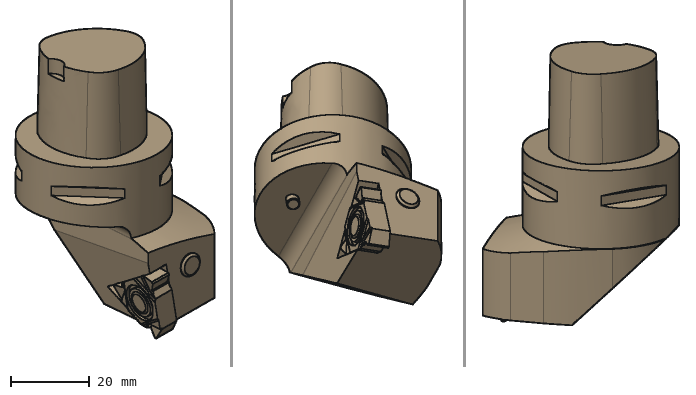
import cadquery as cq
import math


shank_length = 23.95
base_lobe, base_joint, base_flank = 14.9, 14.25, 13.25
top_lobe, top_joint, top_flank = 14.3, 13.8, 12.8
base_joint_angle, top_joint_angle = 18.3, 16.5
key_radius = 3.6
lobe_angles = (90, 210, 330)
flank_turn = 60
key_center_y = -14.5
key_depth = 4.1

flange_radius = 40.0 / 2
slot_z = -8.0
slot_floor_height = 2.5
slot_mouth_height = 5.05
slot_floor_distance = 17.65
slot_angles = (45, 135, 225, 315)

head_top_z = -20.9
head_top_slope = 15.0
head_back_y = 42.45 - flange_radius
head_wall_radius = 20.25
head_wall_angles = (160, 137, 115)
bulge_mid = (-0.7, 20.9)
back_start_x, back_end_x = 8.7, 17.4
corner_mid = (22.1, 20.9)
side_back = (26.0, 18.4)
side_front_x = 26.3
head_inner_x = -14.5
head_bottom_z = -50.6
chamfer_start_z = -20.1
front_y = -4.05
step_outer_z = -16.0
step_slope = 5.0
step_fillet = 4.0

button_radius = 3.2
button_y, button_z = 10.05, -30.15
button_end_x = 27.0
button_chamfer = 0.65

pin_radius = 1.65
pin_tip = (2.7, -11.9, -19.1)
pin_tilt = 15.0
pin_length = 4.35
pin_chamfer = 0.2

insert_center = (20.6, -1.7, -39.2)
rake_angle = 10.0
side_angle = 1.0
corner_angles = (0, 120, 240)
insert_inradius = 12.8 / 2
insert_thickness = 5.65
seat_to_bottom = 6.2
tip_half_width = 0.3
rake_root_y = -5.7
rake_root_x = 1.15
rake_depth = 0.6
tooth_root_y = -6.0
shoulder_y = -7.2
notch_start_x = 1.7
notch_end_x, notch_end_y = 2.0, -6.9
tooth_tip_x, tooth_tip_y = 3.9, -9.3
boss_inradius = 5.9
boss_height = 0.3
boss_taper = 65.0
groove_width = 1.0
groove_depth = 0.6
ring_radius = 8.0 / 2
hub_base_radius = 3.1
hub_top_radius = 2.5
hub_height = 0.3

CUT = 72.3


def seat_plane():
    """Plane of the cutting face: x to the side, y up, normal out of the face."""
    rake = math.radians(rake_angle)
    side = math.radians(side_angle)
    normal = (math.sin(side) * math.cos(rake), -math.cos(side) * math.cos(rake), -math.sin(rake))
    return cq.Plane(origin=insert_center, xDir=(math.cos(side), math.sin(side), 0), normal=normal)


seat = seat_plane()


def polar(radius, degrees):
    return (radius * math.cos(math.radians(degrees)), radius * math.sin(math.radians(degrees)))


def triangle(workplane, inradius, first_corner):
    """Equilateral triangle with one corner at the given angle."""
    corners = [polar(2 * inradius, first_corner + turn) for turn in corner_angles]
    return workplane.polyline(corners).close()


def shank_outline(workplane, lobe, joint, flank, joint_angle):
    """Three-lobed outline made of alternating lobe and flank arcs."""
    outline = workplane.moveTo(*polar(joint, lobe_angles[0] - joint_angle))
    for lobe_angle in lobe_angles:
        outline = outline.threePointArc(polar(lobe, lobe_angle), polar(joint, lobe_angle + joint_angle))
        outline = outline.threePointArc(
            polar(flank, lobe_angle + flank_turn),
            polar(joint, lobe_angle + 2 * flank_turn - joint_angle),
        )
    return outline.close()


def make_shank():
    base = shank_outline(cq.Workplane("XY"), base_lobe, base_joint, base_flank, base_joint_angle)
    top = base.workplane(offset=shank_length)
    shank = shank_outline(top, top_lobe, top_joint, top_flank, top_joint_angle).loft(ruled=True)
    key = (
        cq.Workplane("XY", origin=(0, key_center_y, shank_length))
        .circle(key_radius)
        .extrude(-key_depth)
    )
    return shank.cut(key)


def make_slot_cutter(angle):
    """Gripper slot: a straight groove across the flange rim with flared flanks."""
    floor, mouth = slot_floor_height / 2, slot_mouth_height / 2
    return (
        cq.Workplane("XZ", origin=(0, 0, slot_z))
        .polyline([
            (slot_floor_distance, -floor),
            (flange_radius, -mouth),
            (flange_radius, mouth),
            (slot_floor_distance, floor),
        ])
        .close()
        .extrude(flange_radius, both=True)
        .rotate((0, 0, 0), (0, 0, 1), angle)
    )


def make_head_block():
    """Side bulge of the head under a conical top."""
    wall_start, wall_mid, wall_end = [polar(head_wall_radius, angle) for angle in head_wall_angles]
    block = (
        cq.Workplane("XY", origin=(0, 0, head_bottom_z))
        .moveTo(*wall_start)
        .threePointArc(wall_mid, wall_end)
        .threePointArc(bulge_mid, (back_start_x, head_back_y))
        .lineTo(back_end_x, head_back_y)
        .threePointArc(corner_mid, side_back)
        .lineTo(side_front_x, front_y)
        .lineTo(head_inner_x, front_y)
        .close()
        .extrude(head_top_z - head_bottom_z)
    )
    rim = 2 * flange_radius
    rim_z = head_top_z - (rim - flange_radius) * math.tan(math.radians(head_top_slope))
    cone = (
        cq.Workplane("XZ")
        .polyline([
            (0, head_bottom_z),
            (rim, head_bottom_z),
            (rim, rim_z),
            (flange_radius, head_top_z),
            (0, head_top_z),
        ])
        .close()
        .revolve(360, (0, 0, 0), (0, 1, 0))
    )
    return block.intersect(cone)


def make_step_cutter():
    """Clears the front half below the flange, with a rounded inner corner."""
    step_inner_z = step_outer_z - (flange_radius + front_y) * math.tan(math.radians(step_slope))
    clearance = 3.6
    step_clear_y = -flange_radius - clearance
    step_clear_z = step_outer_z + clearance * math.tan(math.radians(step_slope))
    return (
        cq.Workplane("YZ")
        .polyline([
            (front_y, head_bottom_z),
            (front_y, step_inner_z),
            (step_clear_y, step_clear_z),
            (step_clear_y, head_bottom_z),
        ])
        .close()
        .extrude(CUT, both=True)
        .edges(cq.selectors.NearestToPointSelector((0, front_y, step_inner_z)))
        .fillet(step_fillet)
    )


def make_chamfer_cutter():
    """45 degree cut from the flange wall down to the bottom."""
    reach = chamfer_start_z - head_bottom_z
    return (
        cq.Workplane("XZ")
        .polyline([
            (-flange_radius, chamfer_start_z),
            (-flange_radius + reach, head_bottom_z),
            (-flange_radius, head_bottom_z),
        ])
        .close()
        .extrude(CUT, both=True)
    )


def make_face_cutter():
    """Removes all that stands in front of the leaning cutting face."""
    face_top = 17.35
    return (
        cq.Workplane(seat)
        .center(0, face_top - CUT / 2)
        .rect(2 * CUT, CUT)
        .extrude(CUT)
    )


def make_bottom_cutter():
    """Trims the bottom square to the cutting face."""
    return (
        cq.Workplane(seat)
        .center(0, -seat_to_bottom - CUT / 2)
        .rect(2 * CUT, CUT)
        .extrude(CUT, both=True)
    )


def make_button():
    """Chamfered disc on the side of the head."""
    button_root_x = 21.7
    return (
        cq.Workplane("YZ", origin=(button_root_x, button_y, button_z))
        .circle(button_radius)
        .extrude(button_end_x - button_root_x)
        .faces(">X")
        .chamfer(button_chamfer)
    )


def make_pin():
    """Tilted nozzle pin under the flange step."""
    tilt = math.radians(pin_tilt)
    plane = cq.Plane(origin=pin_tip, xDir=(0, 1, 0), normal=(-math.sin(tilt), 0, math.cos(tilt)))
    return cq.Workplane(plane).circle(pin_radius).extrude(pin_length).faces("<Z").chamfer(pin_chamfer)


def make_holder():
    flange = cq.Workplane("XY").circle(flange_radius).extrude(head_bottom_z)
    holder = flange.union(make_head_block())
    holder = holder.cut(make_step_cutter()).cut(make_chamfer_cutter())
    holder = holder.cut(make_face_cutter()).cut(make_bottom_cutter())
    for angle in slot_angles:
        holder = holder.cut(make_slot_cutter(angle))
    pocket = triangle(cq.Workplane(seat), insert_inradius, 180).extrude(-insert_thickness)
    return holder.union(make_shank()).union(make_button()).union(make_pin()).cut(pocket)


def turned(point, degrees):
    x, y = point
    turn = math.radians(degrees)
    return (x * math.cos(turn) - y * math.sin(turn), x * math.sin(turn) + y * math.cos(turn))


def make_rake_cutter(angle):
    """Sunken tooth face: deepest at its root and running out at the tooth tip."""
    side_plane = cq.Plane(
        origin=seat.toWorldCoords((rake_root_x, 0, 0)), xDir=seat.yDir, normal=seat.xDir
    )
    cutter = (
        cq.Workplane(side_plane)
        .polyline([
            (rake_root_y, 2 * boss_height),
            (rake_root_y, -rake_depth),
            (tooth_tip_y, 0),
            (tooth_tip_y, 2 * boss_height),
        ])
        .close()
        .extrude(insert_inradius)
    )
    center = seat.origin
    return cutter.rotate(center.toTuple(), (center + seat.zDir).toTuple(), angle)


def make_insert():
    """Three-toothed threading insert with a raised chipbreaker boss and screw hub."""
    shoulder_x = -2 * (insert_inradius + shoulder_y * math.sin(math.radians(60)))
    corner = [
        (shoulder_x, shoulder_y),
        (notch_start_x, shoulder_y),
        (notch_end_x, notch_end_y),
        (tooth_tip_x - tip_half_width, tooth_tip_y),
        (tooth_tip_x + tip_half_width, tooth_tip_y),
        (insert_inradius, tooth_root_y),
    ]
    outline = [turned(point, angle) for angle in corner_angles for point in corner]
    plate = cq.Workplane(seat).polyline(outline).close().extrude(-insert_thickness)

    boss = triangle(cq.Workplane(seat), boss_inradius, 0).extrude(boss_height, taper=boss_taper)
    edge_limit = cq.Workplane(seat).polyline(outline).close().extrude(boss_height)
    groove = (
        cq.Workplane(seat)
        .workplane(offset=-groove_depth)
        .circle(ring_radius + groove_width)
        .circle(ring_radius)
        .extrude(groove_depth + boss_height)
    )
    hub = (
        cq.Workplane(seat)
        .workplane(offset=boss_height)
        .circle(hub_base_radius)
        .workplane(offset=hub_height)
        .circle(hub_top_radius)
        .loft()
    )
    insert = plate.union(boss.intersect(edge_limit)).cut(groove).union(hub)
    for angle in corner_angles:
        insert = insert.cut(make_rake_cutter(angle))
    return insert


holder = make_holder()
insert = make_insert()
result = cq.Compound.makeCompound([holder.solids().val(), insert.solids().val()])